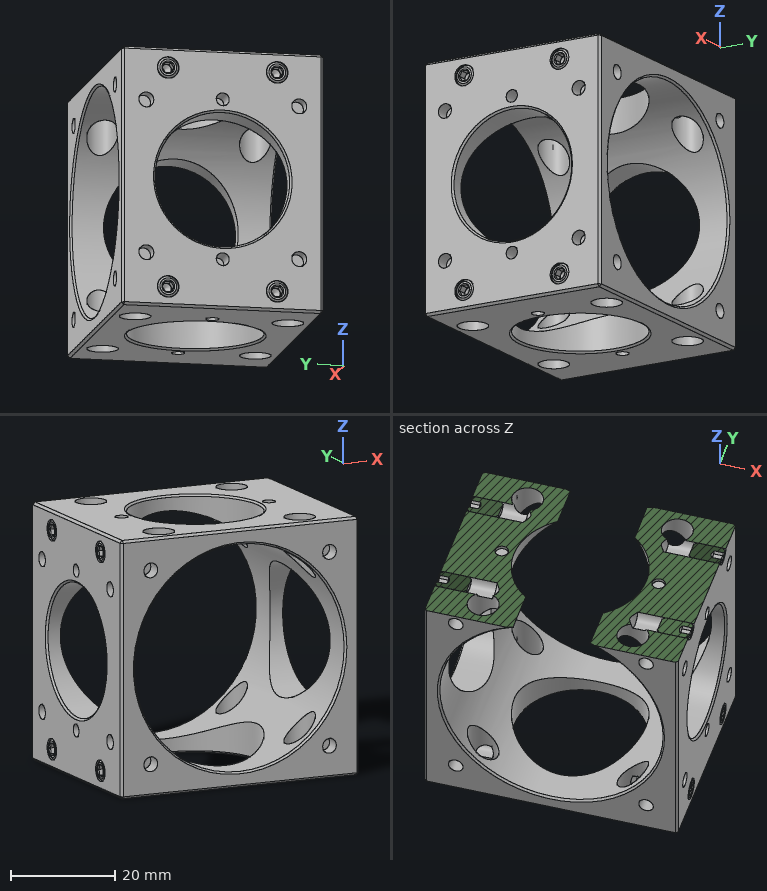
import cadquery as cq
import math

WIDTH = 50.8
DEPTH = 39.62
EDGE_CHAMFER = 0.5

LARGE_BORE_D = 44.7
SMALL_BORE_D = 26.4
BORE_CHAMFER = 0.4

ROD_SPACING = 30.0
ROD_HOLE_D = 6.05

LARGE_MOUNT_SPACING = 38.1
SMALL_MOUNT_SPACING = 30.0
MOUNT_HOLE_D = 2.9
MOUNT_HOLE_DEPTH = 3.0
PIN_HOLE_SPACING = 31.4
PIN_HOLE_D = 2.5
PIN_HOLE_DEPTH = 5.0

SCREW_D = 4.17
SCREW_LENGTH = 6.35
SCREW_HOLE_DEPTH = 11.3
SCREW_CHAMFER = 0.45
SCREW_Y = 10.7
SCREW_Z = 21.5
SOCKET_FLATS = 2.0
SOCKET_DEPTH = 2.0
SOCKET_RIM_D = 2.5
SOCKET_RIM_ANGLE = 90.0
DRILL_POINT_ANGLE = 118.0

SIDES = (-1, 1)
X_FACES = ("<X", ">X")
Y_FACES = ("<Y", ">Y")
Z_FACES = ("<Z", ">Z")


def cut_bore(body, faces, diameter):
    """Cut a bore through the centre and chamfer its rim on both faces."""
    body = body.faces(faces[0]).workplane(origin=(0, 0, 0)).hole(diameter)
    for face in faces:
        rim = (
            body.faces(face).workplane(origin=(0, 0, 0))
            .circle(diameter / 2 + BORE_CHAMFER)
            .workplane(offset=-BORE_CHAMFER)
            .circle(diameter / 2)
            .loft(combine=False)
        )
        body = body.cut(rim)
    return body


def drill_blind_holes(body, faces, points, diameter, depth):
    """Drill the same pattern of flat-bottomed holes into each listed face."""
    for face in faces:
        body = body.faces(face).workplane(origin=(0, 0, 0)).pushPoints(points).hole(diameter, depth)
    return body


def square_pattern(spacing):
    return [(sx * spacing / 2, sy * spacing / 2) for sx in SIDES for sy in SIDES]


def make_cone(x, diameter, point_angle):
    """Cone with its base at X = x and its tip toward +X."""
    height = diameter / 2 / math.tan(math.radians(point_angle / 2))
    return cq.Workplane(
        cq.Solid.makeCone(diameter / 2, 0, height, pnt=cq.Vector(x, 0, 0), dir=cq.Vector(1, 0, 0))
    )


def make_set_screw():
    """Hex socket set screw with its outer face on the -X face of the cube, at Y = Z = 0."""
    outer_face = cq.Workplane("YZ", origin=(-WIDTH / 2, 0, 0))
    screw = outer_face.circle(SCREW_D / 2).extrude(SCREW_LENGTH).edges().chamfer(SCREW_CHAMFER)
    socket = outer_face.polygon(6, SOCKET_FLATS / math.cos(math.pi / 6)).extrude(SOCKET_DEPTH)
    socket_bottom = make_cone(-WIDTH / 2 + SOCKET_DEPTH, SOCKET_FLATS, DRILL_POINT_ANGLE)
    socket_rim = make_cone(-WIDTH / 2, SOCKET_RIM_D, SOCKET_RIM_ANGLE)
    return screw.cut(socket).cut(socket_bottom).cut(socket_rim)


def make_screw_hole():
    """Drilled hole for a set screw, open at the -X face of the cube, at Y = Z = 0."""
    barrel = cq.Workplane("YZ", origin=(-WIDTH / 2, 0, 0)).circle(SCREW_D / 2).extrude(SCREW_HOLE_DEPTH)
    return barrel.union(make_cone(-WIDTH / 2 + SCREW_HOLE_DEPTH, SCREW_D, DRILL_POINT_ANGLE))


def place_at_screws(shape):
    """Copies of a shape made at Y = Z = 0 on the -X face, one at every set screw on both X faces."""
    copies = []
    for turn in (0, 180):
        turned = shape.rotate((0, 0, 0), (0, 0, 1), turn)
        for y_side in SIDES:
            for z_side in SIDES:
                copies.append(turned.translate((0, y_side * SCREW_Y, z_side * SCREW_Z)))
    return copies


cube = cq.Workplane("XY").box(WIDTH, DEPTH, WIDTH).edges().chamfer(EDGE_CHAMFER)
cube = cut_bore(cube, Y_FACES, LARGE_BORE_D)
cube = cut_bore(cube, X_FACES, SMALL_BORE_D)
cube = cut_bore(cube, Z_FACES, SMALL_BORE_D)
rod_holes = (
    cq.Workplane("XY", origin=(0, 0, -WIDTH / 2))
    .pushPoints(square_pattern(ROD_SPACING)).circle(ROD_HOLE_D / 2).extrude(WIDTH)
)
cube = cube.cut(rod_holes)
cube = drill_blind_holes(cube, Y_FACES, square_pattern(LARGE_MOUNT_SPACING), MOUNT_HOLE_D, MOUNT_HOLE_DEPTH)
cube = drill_blind_holes(cube, X_FACES, square_pattern(SMALL_MOUNT_SPACING), MOUNT_HOLE_D, MOUNT_HOLE_DEPTH)
pins_along_x = [(side * PIN_HOLE_SPACING / 2, 0) for side in SIDES]
pins_along_z = [(0, side * PIN_HOLE_SPACING / 2) for side in SIDES]
cube = drill_blind_holes(cube, Z_FACES, pins_along_x, PIN_HOLE_D, PIN_HOLE_DEPTH)
cube = drill_blind_holes(cube, X_FACES, pins_along_z, PIN_HOLE_D, PIN_HOLE_DEPTH)
for screw_hole in place_at_screws(make_screw_hole()):
    cube = cube.cut(screw_hole)

set_screws = place_at_screws(make_set_screw())

result = cq.Compound.makeCompound([cube.val(), *[screw.val() for screw in set_screws]])